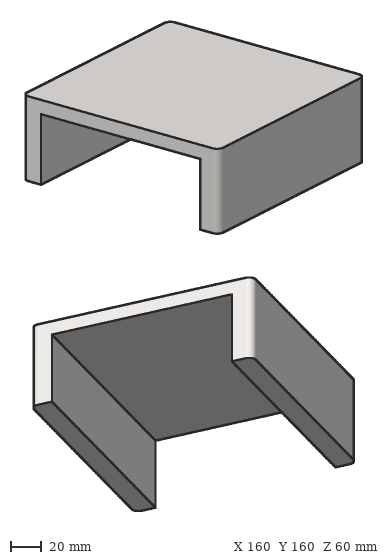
import cadquery as cq

side = 160.0
height = 60.0
top_thickness = 10.0
wall_thickness = 15.0
corner_radius = 5.0

channel_width = side - 2 * wall_thickness
channel_height = height - top_thickness


def rounded_block():
    """Square block with rounded vertical edges, resting on Z = 0."""
    block = cq.Workplane("XY").box(side, side, height, centered=(True, True, False))
    return block.edges("|Z").fillet(corner_radius)


def channel():
    """Rectangular channel along Y, open at the bottom and both ends."""
    return cq.Workplane("XY").box(channel_width, side, channel_height, centered=(True, True, False))


result = rounded_block().cut(channel())